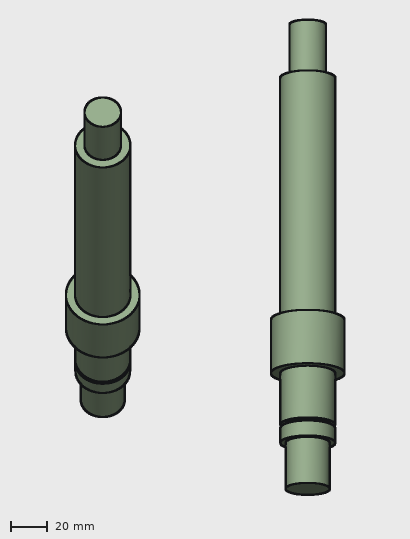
import cadquery as cq

total_length = 262.0

journal_diameter = 24.0
seat_diameter = 29.9
groove_diameter = 25.0
collar_diameter = 40.0
body_diameter = 30.0
spigot_diameter = 20.0

journal_length = 26.0
retaining_land_length = 8.5
groove_width = 1.8
seat_length = 29.0
collar_length = 30.0
spigot_length = 30.0
body_length = total_length - (
    journal_length
    + retaining_land_length
    + groove_width
    + seat_length
    + collar_length
    + spigot_length
)

sections = [
    (journal_diameter, journal_length),
    (seat_diameter, retaining_land_length),
    (groove_diameter, groove_width),
    (seat_diameter, seat_length),
    (collar_diameter, collar_length),
    (body_diameter, body_length),
    (spigot_diameter, spigot_length),
]


def stepped_shaft(shaft_sections):
    """Stack round sections end to end, starting at Z = 0."""
    shaft = cq.Workplane("XY")
    for index, (diameter, length) in enumerate(shaft_sections):
        if index > 0:
            shaft = shaft.faces(">Z").workplane()
        shaft = shaft.circle(diameter / 2).extrude(length)
    return shaft


result = stepped_shaft(sections)